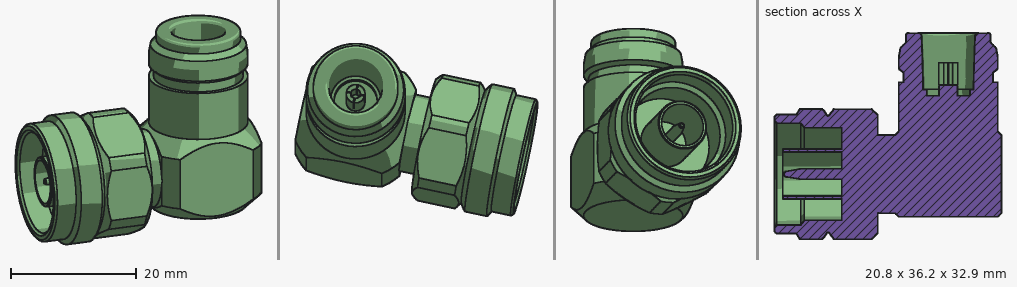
import cadquery as cq

OVERLAP = 1.0

BLOCK_WIDTH = 17.0
BLOCK_HALF_HEIGHT = 6.8
BLOCK_CORNER_RADIUS = 10.5
BLOCK_END_RADIUS = 7.9
BLOCK_CONE_HEIGHT = BLOCK_CORNER_RADIUS - BLOCK_END_RADIUS

JACK_RADIUS = 7.9
JACK_TOP_Z = 22.5
JACK_GROOVE_RADIUS = 7.15
JACK_GROOVE_Z = 14.65
JACK_GROOVE_TOP_Z = 16.15
THREAD_BOTTOM_Z = 16.75
THREAD_TAPER_Z = 18.65
THREAD_TOP_RADIUS = 7.65
THREAD_TOP_Z = 20.05
JACK_NOSE_RADIUS = 6.75
JACK_NOSE_Z = THREAD_TOP_Z + THREAD_TOP_RADIUS - JACK_NOSE_RADIUS
JACK_NOSE_ROUND = 0.45

JACK_BORE_RADIUS = 4.25
JACK_BORE_FLOOR_RADIUS = 4.0
JACK_MOUTH_ROUND = 0.55
JACK_BORE_FLOOR_Z = 13.5
JACK_RECESS_RADIUS = 3.43
JACK_RECESS_FLOOR_Z = 12.5
SOCKET_RADIUS = 1.5
SOCKET_HOLE_RADIUS = 0.75
SOCKET_TOP_Z = 17.7
SOCKET_DEPTH = 3.5
SOCKET_SLOT_WIDTH = 0.15

PLUG_END = 27.7
NECK_RADIUS = 6.25
NUT_BACK = 11.2
NUT_FLAT_COUNT = 6
NUT_FLATS = 19.0
NUT_CORNER_RADIUS = 10.4
NUT_BACK_CHAMFER = 1.0
NUT_HEX_END = 18.25
NUT_HEX_CONE_RADIUS = 9.4
NUT_GROOVE_START = 18.97
NUT_GROOVE_RADIUS = 9.3
NUT_GROOVE_END = 19.25
COLLAR_SHOULDER = 19.75
COLLAR_SHOULDER_RADIUS = 10.05
COLLAR_RADIUS = 10.4
COLLAR_START = 20.1
COLLAR_END = 23.65
NUT_NOSE_RADIUS = 9.5
NUT_NOSE_START = 24.2
NUT_NOSE_CHAMFER = 0.35

PLUG_MOUTH_RADIUS = 8.5
PLUG_MOUTH_CHAMFER = 0.4
PLUG_BORE_RADIUS = PLUG_MOUTH_RADIUS - PLUG_MOUTH_CHAMFER
PLUG_INNER_RADIUS = 7.36
PLUG_CONE_START = 23.5
PLUG_CONE_END = 22.9
PLUG_FLOOR = 17.0
SLEEVE_OUTER_RADIUS = 4.0
SLEEVE_INNER_RADIUS = 3.48
SLEEVE_CHAMFER = 0.12
SLEEVE_END = 26.4
PIN_RADIUS = 0.85
PIN_TAPER_START = 23.6
PIN_TIP_RADIUS = 0.45
PIN_TIP_CHAMFER = 0.2
PIN_END = 26.15


def turn_about_z(points):
    """Revolve a closed (radius, z) outline about the Z axis."""
    return close_and_turn_about_z(cq.Workplane("XZ").polyline(points))


def close_and_turn_about_z(outline):
    """Close a half outline drawn in the XZ plane and revolve it about the Z axis."""
    return outline.close().revolve(360, (0, 0, 0), (0, 1, 0))


def turn_about_y(points):
    """Revolve a closed (radius, distance toward -Y) outline about the Y axis."""
    outline = [(radius, -distance) for radius, distance in points]
    return close_and_turn_about_y(cq.Workplane("XY").polyline(outline))


def close_and_turn_about_y(outline):
    """Close a half outline drawn in the XY plane and revolve it about the Y axis."""
    return outline.close().revolve(360, (0, 0, 0), (0, 1, 0))


def make_block():
    """Square block trimmed by a cylinder with a cone at each end."""
    shoulder_z = BLOCK_HALF_HEIGHT - BLOCK_CONE_HEIGHT
    square = cq.Workplane("XY").box(BLOCK_WIDTH, BLOCK_WIDTH, 2 * BLOCK_HALF_HEIGHT)
    envelope = turn_about_z([
        (0, -BLOCK_HALF_HEIGHT),
        (BLOCK_END_RADIUS, -BLOCK_HALF_HEIGHT),
        (BLOCK_CORNER_RADIUS, -shoulder_z),
        (BLOCK_CORNER_RADIUS, shoulder_z),
        (BLOCK_END_RADIUS, BLOCK_HALF_HEIGHT),
        (0, BLOCK_HALF_HEIGHT),
    ])
    return square.intersect(envelope)


def make_jack_outside():
    """Barrel, thread relief, plain thread band and rounded nose."""
    outline = (
        cq.Workplane("XZ")
        .moveTo(0, BLOCK_HALF_HEIGHT - OVERLAP)
        .lineTo(JACK_RADIUS, BLOCK_HALF_HEIGHT - OVERLAP)
        .lineTo(JACK_RADIUS, JACK_GROOVE_Z)
        .lineTo(JACK_GROOVE_RADIUS, JACK_GROOVE_Z)
        .lineTo(JACK_GROOVE_RADIUS, JACK_GROOVE_TOP_Z)
        .lineTo(JACK_RADIUS, THREAD_BOTTOM_Z)
        .lineTo(JACK_RADIUS, THREAD_TAPER_Z)
        .lineTo(THREAD_TOP_RADIUS, THREAD_TOP_Z)
        .lineTo(JACK_NOSE_RADIUS, JACK_NOSE_Z)
        .lineTo(JACK_NOSE_RADIUS, JACK_TOP_Z - JACK_NOSE_ROUND)
        .radiusArc((JACK_NOSE_RADIUS - JACK_NOSE_ROUND, JACK_TOP_Z), -JACK_NOSE_ROUND)
        .lineTo(0, JACK_TOP_Z)
    )
    return close_and_turn_about_z(outline)


def make_jack_bore():
    """Slightly tapered bore with a rounded mouth and a recess in its floor."""
    outline = (
        cq.Workplane("XZ")
        .moveTo(0, JACK_TOP_Z)
        .lineTo(JACK_BORE_RADIUS + JACK_MOUTH_ROUND, JACK_TOP_Z)
        .radiusArc((JACK_BORE_RADIUS, JACK_TOP_Z - JACK_MOUTH_ROUND), -JACK_MOUTH_ROUND)
        .lineTo(JACK_BORE_FLOOR_RADIUS, JACK_BORE_FLOOR_Z)
        .lineTo(JACK_RECESS_RADIUS, JACK_BORE_FLOOR_Z)
        .lineTo(JACK_RECESS_RADIUS, JACK_RECESS_FLOOR_Z)
        .lineTo(0, JACK_RECESS_FLOOR_Z)
    )
    return close_and_turn_about_z(outline)


def make_socket():
    """Centre contact of the jack: a tube with crossed slots in its end."""
    base_z = JACK_RECESS_FLOOR_Z - OVERLAP
    socket_floor_z = SOCKET_TOP_Z - SOCKET_DEPTH
    socket = (
        cq.Workplane("XY", origin=(0, 0, base_z))
        .circle(SOCKET_RADIUS)
        .extrude(SOCKET_TOP_Z - base_z)
    )
    end = cq.Workplane("XY", origin=(0, 0, socket_floor_z))
    socket = socket.cut(end.circle(SOCKET_HOLE_RADIUS).extrude(SOCKET_DEPTH))
    for angle in (0, 90):
        slot = end.rect(3 * SOCKET_RADIUS, SOCKET_SLOT_WIDTH).extrude(SOCKET_DEPTH)
        socket = socket.cut(slot.rotate((0, 0, 0), (0, 0, 1), angle))
    return socket


def make_neck():
    """Round neck between the block and the coupling nut."""
    return turn_about_y([
        (0, 0),
        (NECK_RADIUS, 0),
        (NECK_RADIUS, NUT_BACK + OVERLAP),
        (0, NUT_BACK + OVERLAP),
    ])


def make_nut():
    """Coupling nut: six flats at the back, round collar and nose in front."""
    outline = (
        cq.Workplane("XY")
        .moveTo(0, -NUT_BACK)
        .lineTo(NUT_CORNER_RADIUS - NUT_BACK_CHAMFER, -NUT_BACK)
        .lineTo(NUT_CORNER_RADIUS, -NUT_BACK - NUT_BACK_CHAMFER)
        .lineTo(NUT_CORNER_RADIUS, -NUT_HEX_END)
        .lineTo(NUT_HEX_CONE_RADIUS, -NUT_GROOVE_START)
        .tangentArcPoint((NUT_GROOVE_RADIUS, -NUT_GROOVE_END), relative=False)
        .lineTo(COLLAR_SHOULDER_RADIUS, -COLLAR_SHOULDER)
        .lineTo(COLLAR_RADIUS, -COLLAR_START)
        .lineTo(COLLAR_RADIUS, -COLLAR_END)
        .lineTo(NUT_NOSE_RADIUS, -NUT_NOSE_START)
        .lineTo(NUT_NOSE_RADIUS, -PLUG_END + NUT_NOSE_CHAMFER)
        .lineTo(NUT_NOSE_RADIUS - NUT_NOSE_CHAMFER, -PLUG_END)
        .lineTo(0, -PLUG_END)
    )
    nut = close_and_turn_about_y(outline)
    flat_length = NUT_GROOVE_END - NUT_BACK
    trim = cq.Workplane("XY").box(NUT_FLATS, flat_length, NUT_FLATS).translate(
        (NUT_FLATS, -(NUT_BACK + flat_length / 2), 0)
    )
    for flat in range(NUT_FLAT_COUNT):
        nut = nut.cut(trim.rotate((0, 0, 0), (0, 1, 0), flat * 360 / NUT_FLAT_COUNT))
    return nut


def make_plug_cavity():
    """Stepped cavity of the nut, open at its front face."""
    return turn_about_y([
        (0, PLUG_END),
        (PLUG_MOUTH_RADIUS, PLUG_END),
        (PLUG_BORE_RADIUS, PLUG_END - PLUG_MOUTH_CHAMFER),
        (PLUG_BORE_RADIUS, PLUG_CONE_START),
        (PLUG_INNER_RADIUS, PLUG_CONE_END),
        (PLUG_INNER_RADIUS, PLUG_FLOOR),
        (0, PLUG_FLOOR),
    ])


def make_sleeve():
    """Outer contact of the plug: a thin tube standing on the cavity floor."""
    return turn_about_y([
        (SLEEVE_INNER_RADIUS, PLUG_FLOOR - OVERLAP),
        (SLEEVE_OUTER_RADIUS, PLUG_FLOOR - OVERLAP),
        (SLEEVE_OUTER_RADIUS, SLEEVE_END - SLEEVE_CHAMFER),
        (SLEEVE_OUTER_RADIUS - SLEEVE_CHAMFER, SLEEVE_END),
        (SLEEVE_INNER_RADIUS, SLEEVE_END),
    ])


def make_pin():
    """Centre contact of the plug: a round pin with a tapered end."""
    return turn_about_y([
        (0, PLUG_FLOOR - OVERLAP),
        (PIN_RADIUS, PLUG_FLOOR - OVERLAP),
        (PIN_RADIUS, PIN_TAPER_START),
        (PIN_TIP_RADIUS, PIN_END - PIN_TIP_CHAMFER),
        (PIN_TIP_RADIUS - PIN_TIP_CHAMFER, PIN_END),
        (0, PIN_END),
    ])


body = make_block().union(make_jack_outside()).union(make_neck()).union(make_nut())
body = body.cut(make_jack_bore()).cut(make_plug_cavity())
result = body.union(make_socket()).union(make_sleeve()).union(make_pin())